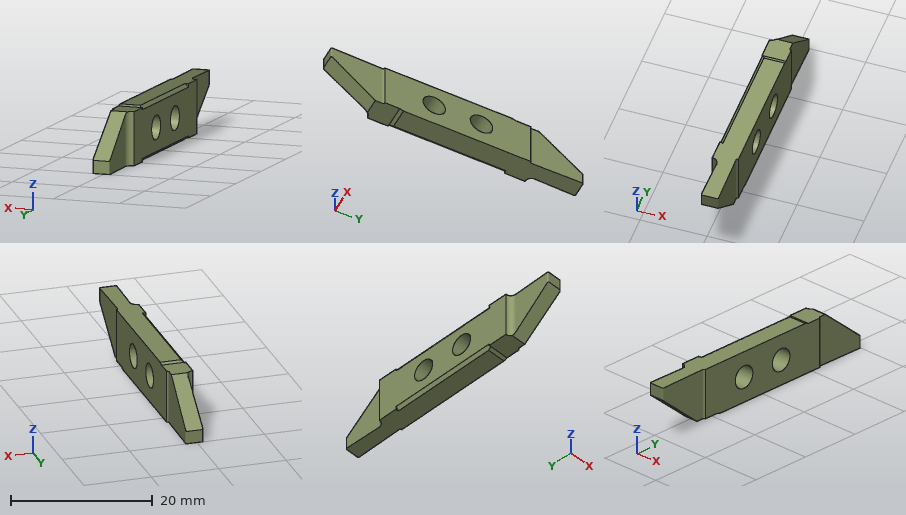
import cadquery as cq
import math


thickness = 3.6
length = 40.0
height = 8.0

tip_left_x = -0.93
tip_right_x = 1.64
neck_left_x = -0.81
neck_right_x = 1.53
shoulder_y = 12.5
right_neck_end_y = 11.85
tip_corner_radius = 0.2

tip_height = 1.9
clearance_angle = 40.0
end_step = 0.2
step_ramp_length = 0.6

chamfer_size = 0.5
chamfer_half_length = 9.22

hole_diameter = 3.55
hole_spacing = 7.5

half_thickness = thickness / 2
half_length = length / 2
half_height = height / 2
left_fillet_radius = neck_left_x + half_thickness
right_fillet_radius = half_thickness - neck_right_x


def quarter_arc_middle(center, radius, x_sign, y_sign):
    """Midpoint of a quarter arc lying in the given quadrant of its circle."""
    offset = radius * math.sqrt(0.5)
    return (center[0] + x_sign * offset, center[1] + y_sign * offset)


def plan_half():
    """Half of the part with Y above zero, with its plan outline at full height."""
    left_foot_y = shoulder_y + left_fillet_radius
    left_center = (-half_thickness, left_foot_y)
    right_center = (half_thickness, right_neck_end_y)
    outline = (
        cq.Workplane("XY", origin=(0, 0, -half_height))
        .moveTo(-half_thickness, 0)
        .lineTo(-half_thickness, shoulder_y)
        .threePointArc(
            quarter_arc_middle(left_center, left_fillet_radius, 1, -1),
            (neck_left_x, left_foot_y),
        )
        .lineTo(tip_left_x, half_length)
        .lineTo(tip_right_x, half_length)
        .lineTo(neck_right_x, right_neck_end_y)
        .threePointArc(
            quarter_arc_middle(right_center, right_fillet_radius, -1, -1),
            (half_thickness, right_neck_end_y - right_fillet_radius),
        )
        .lineTo(half_thickness, 0)
        .close()
    )
    tip_edges = cq.selectors.BoxSelector(
        (-half_thickness, half_length - tip_corner_radius, -half_height),
        (half_thickness, half_length + tip_corner_radius, half_height),
    )
    return outline.extrude(height).edges("|Z").edges(tip_edges).fillet(tip_corner_radius)


def side_block():
    """Side outline, with a sloped clearance face at each end, through the full thickness."""
    tip_z = tip_height - half_height
    blade_back_z = half_height - end_step
    slope_run = (blade_back_z - tip_z) / math.tan(math.radians(clearance_angle))
    half_outline = [
        (half_length, -half_height),
        (half_length, tip_z),
        (half_length - slope_run, blade_back_z),
        (chamfer_half_length, blade_back_z),
        (chamfer_half_length - step_ramp_length, half_height),
    ]
    opposite_half = [(-y, -z) for y, z in half_outline]
    return (
        cq.Workplane("YZ", origin=(-half_thickness, 0, 0))
        .polyline(half_outline + opposite_half)
        .close()
        .extrude(thickness)
    )


def edge_chamfers():
    """Wedges that remove the upper and lower -X edges of the body."""
    wedges = cq.Workplane("XZ", origin=(0, chamfer_half_length, 0))
    for side in (1, -1):
        edge_z = side * half_height
        wedges = wedges.polyline([
            (-half_thickness, edge_z),
            (-half_thickness + chamfer_size, edge_z),
            (-half_thickness, edge_z - side * chamfer_size),
        ]).close()
    return wedges.extrude(2 * chamfer_half_length)


def mounting_holes():
    """Pins for the two through holes along X."""
    return (
        cq.Workplane("YZ", origin=(-half_thickness, 0, 0))
        .pushPoints([(-hole_spacing / 2, 0), (hole_spacing / 2, 0)])
        .circle(hole_diameter / 2)
        .extrude(thickness)
    )


half = plan_half()
plan_body = half.union(half.mirror("XZ"))
result = plan_body.intersect(side_block()).cut(edge_chamfers()).cut(mounting_holes())